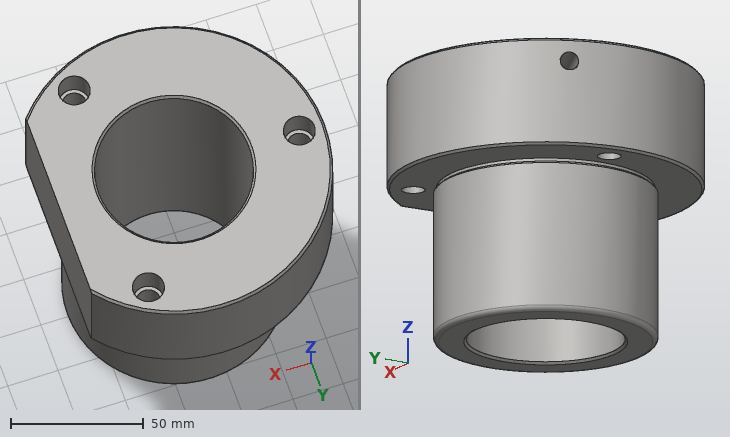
import cadquery as cq
import math

flange_radius = 59.9
flange_height = 42.0
total_height = 102.0
flat_offset = 46.0
shank_radius = 42.4
bore_radius = 30.0
edge_chamfer = 1.0
shank_end_fillet = 2.0

relief_depth = 1.0
relief_width = 2.0
relief_chamfer = 0.8

bolt_count = 3
bolt_circle_radius = 50.0
bolt_hole_diameter = 9.0
counterbore_diameter = 12.0
counterbore_depth = 12.0

side_hole_radius = 3.5
side_hole_drop = 9.0
side_hole_angle = 160.0

flange_bottom = total_height - flange_height


def turned_body():
    """Flange, shank and relief groove revolved around Z."""
    relief_radius = shank_radius - relief_depth
    shank_top = flange_bottom - relief_width
    fillet_reach = shank_end_fillet * math.sqrt(0.5)
    fillet_center = shank_radius - shank_end_fillet
    profile = (
        cq.Workplane("XZ")
        .moveTo(bore_radius + edge_chamfer, 0)
        .lineTo(fillet_center, 0)
        .threePointArc(
            (fillet_center + fillet_reach, shank_end_fillet - fillet_reach),
            (shank_radius, shank_end_fillet),
        )
        .lineTo(shank_radius, shank_top)
        .lineTo(relief_radius, shank_top + relief_chamfer)
        .lineTo(relief_radius, flange_bottom)
        .lineTo(flange_radius - edge_chamfer, flange_bottom)
        .lineTo(flange_radius, flange_bottom + edge_chamfer)
        .lineTo(flange_radius, total_height - edge_chamfer)
        .lineTo(flange_radius - edge_chamfer, total_height)
        .lineTo(bore_radius + edge_chamfer, total_height)
        .lineTo(bore_radius, total_height - edge_chamfer)
        .lineTo(bore_radius, edge_chamfer)
        .close()
    )
    return profile.revolve(360, (0, 0, 0), (0, 1, 0))


def cut_flat(body):
    """Trim the +X side of the flange to a flat."""
    trim = (
        cq.Workplane("XY")
        .box(flange_radius, 2 * flange_radius, total_height, centered=(False, True, False))
        .translate((flat_offset, 0, 0))
    )
    return body.cut(trim)


def cut_bolt_holes(body):
    """Counterbored holes through the flange, the first one on the -X side."""
    return (
        body.faces(">Z")
        .workplane(origin=(0, 0, total_height))
        .polarArray(bolt_circle_radius, 180, 360, bolt_count)
        .cboreHole(bolt_hole_diameter, counterbore_diameter, counterbore_depth)
    )


def cut_side_hole(body):
    """Drill the rim radially inward until it opens into the bore."""
    angle = math.radians(side_hole_angle)
    direction = cq.Vector(math.cos(angle), math.sin(angle), 0)
    axis_point = cq.Vector(0, 0, total_height - side_hole_drop)
    drill = cq.Solid.makeCylinder(side_hole_radius, flange_radius, axis_point, direction)
    return body.cut(cq.Workplane(obj=drill))


result = turned_body()
result = cut_flat(result)
result = cut_bolt_holes(result)
result = cut_side_hole(result)